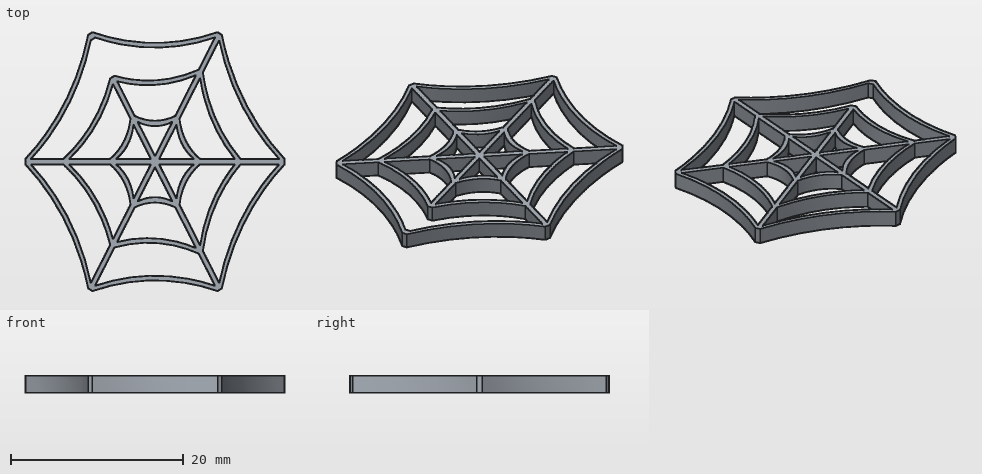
import cadquery as cq
import math


WIDTH_X = 30.0
HEIGHT_Y = 30.0
THICKNESS = 2.0

SPOKE_COUNT = 6
SPOKE_STEP = 360.0 / SPOKE_COUNT
SPOKE_HALF_WIDTH = 0.29
TIP_RADIUS = WIDTH_X / 2
SHORT_SPOKE = 2

OUTER_KNOTS = (TIP_RADIUS, TIP_RADIUS)
OUTER_WAIST = 12.05
OUTER_KNOT_DEPTH = 0.65
OUTER_STRAND = 0.50

MIDDLE_KNOTS = (9.90, 10.61)
MIDDLE_WAIST = 8.25
MIDDLE_KNOT_DEPTH = 0.68
MIDDLE_STRAND = 0.49

INNER_KNOTS = (5.20, 5.20)
INNER_WAIST = 4.16
INNER_KNOT_DEPTH = 0.73
INNER_STRAND = 0.57

TIP_ANGLE = math.radians(SPOKE_STEP)
UNSTRETCHED_HALF_HEIGHT = TIP_RADIUS * math.sin(TIP_ANGLE) + SPOKE_HALF_WIDTH * math.cos(TIP_ANGLE)
Y_STRETCH = HEIGHT_Y / 2 / UNSTRETCHED_HALF_HEIGHT


def spoke_point(spoke, along, across):
    """Point at a distance along a spoke and a distance to its left."""
    angle = math.radians(spoke * SPOKE_STEP)
    x = along * math.cos(angle) - across * math.sin(angle)
    y = along * math.sin(angle) + across * math.cos(angle)
    return x, y


def web_plate(knots, waist):
    """Solid plate bounded by a flat at each spoke and a bowed arc between spokes."""
    outline = cq.Workplane("XY").moveTo(*spoke_point(0, knots[0], -SPOKE_HALF_WIDTH))
    for spoke in range(SPOKE_COUNT):
        knot = knots[spoke % 2]
        next_knot = knots[(spoke + 1) % 2]
        outline = outline.lineTo(*spoke_point(spoke, knot, SPOKE_HALF_WIDTH))
        outline = outline.threePointArc(
            spoke_point(spoke + 0.5, waist, 0),
            spoke_point(spoke + 1, next_knot, -SPOKE_HALF_WIDTH),
        )
    return outline.close().extrude(THICKNESS)


def ring(knots, waist, knot_depth, strand):
    """Closed loop of strands, slightly deeper at the knots than at the waists."""
    inside_knots = tuple(knot - knot_depth for knot in knots)
    return web_plate(knots, waist).cut(web_plate(inside_knots, waist - strand))


def spoke_bar(spoke):
    """Straight bar from the centre out to the web tip or the middle ring."""
    length = MIDDLE_KNOTS[spoke % 2] if spoke == SHORT_SPOKE else TIP_RADIUS
    bar = cq.Workplane("XY").box(length, 2 * SPOKE_HALF_WIDTH, THICKNESS, centered=(False, True, False))
    return bar.rotate((0, 0, 0), (0, 0, 1), spoke * SPOKE_STEP)


def stretch_y(body, factor):
    """Scale a body along Y only."""
    matrix = cq.Matrix([[1, 0, 0, 0], [0, factor, 0, 0], [0, 0, 1, 0], [0, 0, 0, 1]])
    return cq.Workplane("XY").newObject([body.val().transformGeometry(matrix)])


web = ring(OUTER_KNOTS, OUTER_WAIST, OUTER_KNOT_DEPTH, OUTER_STRAND)
web = web.union(ring(MIDDLE_KNOTS, MIDDLE_WAIST, MIDDLE_KNOT_DEPTH, MIDDLE_STRAND))
web = web.union(ring(INNER_KNOTS, INNER_WAIST, INNER_KNOT_DEPTH, INNER_STRAND))
for spoke_index in range(SPOKE_COUNT):
    web = web.union(spoke_bar(spoke_index))

result = cq.Workplane("XY").newObject([stretch_y(web, Y_STRETCH).solids().val()])